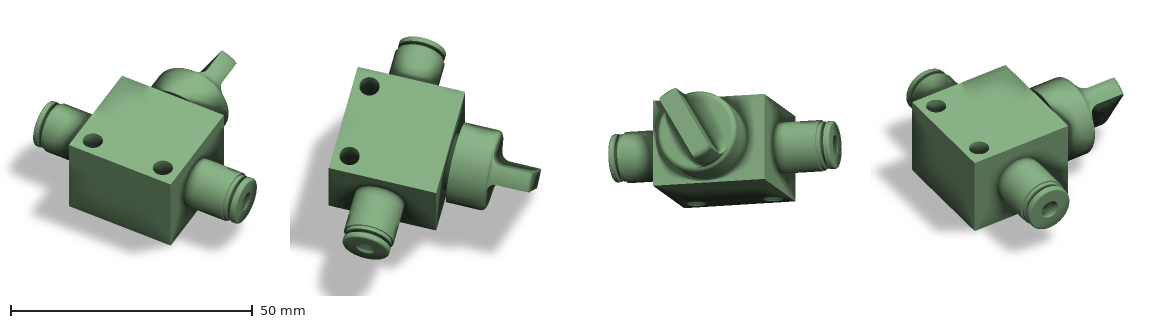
import cadquery as cq

OVERALL_LENGTH = 47.6
OVERALL_DEPTH = 41.0
BLOCK_WIDTH = 24.0
BLOCK_DEPTH = 22.95
BLOCK_HEIGHT = 18.0
MOUNT_HOLE_DIAMETER = 4.2
MOUNT_HOLE_SPACING = 16.45
MOUNT_HOLE_Y = 3.47

PORT_Y = 10.9
PORT_DIAMETER = 10.6
COLLET_LENGTH = 2.75
COLLET_FLANGE_DIAMETER = 10.0
COLLET_FLANGE_WIDTH = 1.2
COLLET_NECK_DIAMETER = 7.5
COLLET_NECK_WIDTH = 0.8
COLLET_RING_DIAMETER = 9.9
COLLET_RIM_RADIUS = 0.45
COLLET_BORE_DIAMETER = 4.0
PORT_END_X = OVERALL_LENGTH / 2 - COLLET_LENGTH

STEM_DIAMETER = 12.0
STEM_LENGTH = 1.15
KNOB_DIAMETER = 17.0
KNOB_LENGTH = 8.15
KNOB_RIM_RADIUS = 1.05
KNOB_TOTAL_LENGTH = OVERALL_DEPTH - BLOCK_DEPTH
SHOULDER_HEIGHT = STEM_LENGTH + KNOB_LENGTH
GRIP_DIAMETER = 15.7
GRIP_THICKNESS = 4.05
GRIP_CORNER_RADIUS = 1.0
GRIP_ROOT_RADIUS = 2.0
GRIP_ANGLE = 60.0


def make_housing():
    """Block with two mounting holes and a round port on each side."""
    block = cq.Workplane("XY").box(BLOCK_WIDTH, BLOCK_DEPTH, BLOCK_HEIGHT, centered=(True, False, True))
    ports = (
        cq.Workplane("YZ", origin=(0, PORT_Y, 0))
        .circle(PORT_DIAMETER / 2)
        .extrude(PORT_END_X, both=True)
    )
    mount_holes = (
        cq.Workplane("XY", origin=(0, MOUNT_HOLE_Y, 0))
        .rarray(MOUNT_HOLE_SPACING, 0.48, 2, 1)
        .circle(MOUNT_HOLE_DIAMETER / 2)
        .extrude(BLOCK_HEIGHT, both=True)
    )
    return block.union(ports).cut(mount_holes)


def make_collet(side):
    """Grooved collet on the port end; side is -1 for left, +1 for right."""
    outer_face = ">X" if side > 0 else "<X"
    ring_width = COLLET_LENGTH - COLLET_FLANGE_WIDTH - COLLET_NECK_WIDTH
    outward = cq.Plane(origin=(side * PORT_END_X, PORT_Y, 0), xDir=(0, 1, 0), normal=(side, 0, 0))
    return (
        cq.Workplane(outward)
        .circle(COLLET_RING_DIAMETER / 2)
        .extrude(ring_width)
        .faces(outer_face)
        .workplane()
        .circle(COLLET_NECK_DIAMETER / 2)
        .extrude(COLLET_NECK_WIDTH)
        .faces(outer_face)
        .workplane()
        .circle(COLLET_FLANGE_DIAMETER / 2)
        .extrude(COLLET_FLANGE_WIDTH)
        .faces(outer_face)
        .edges()
        .fillet(COLLET_RIM_RADIUS)
        .faces(outer_face)
        .workplane()
        .circle(COLLET_BORE_DIAMETER / 2)
        .cutBlind(-COLLET_LENGTH)
    )


def make_grip():
    """Blade along X, rising in Z, with flared roots and rounded ends."""
    half_thickness = GRIP_THICKNESS / 2
    flare = half_thickness + GRIP_ROOT_RADIUS
    base = SHOULDER_HEIGHT - KNOB_RIM_RADIUS
    root_top = SHOULDER_HEIGHT + GRIP_ROOT_RADIUS
    root_center = (flare, root_top)
    profile = (
        cq.Workplane("YZ")
        .moveTo(-flare, base)
        .lineTo(flare, base)
        .lineTo(flare, SHOULDER_HEIGHT)
        .radiusArc((half_thickness, root_top), GRIP_ROOT_RADIUS)
        .lineTo(half_thickness, KNOB_TOTAL_LENGTH)
        .lineTo(-half_thickness, KNOB_TOTAL_LENGTH)
        .lineTo(-half_thickness, root_top)
        .radiusArc((-flare, SHOULDER_HEIGHT), GRIP_ROOT_RADIUS)
        .close()
        .extrude(GRIP_DIAMETER, both=True)
    )
    envelope = (
        cq.Workplane("XY", origin=(0, 0, base))
        .circle(GRIP_DIAMETER / 2)
        .extrude(KNOB_TOTAL_LENGTH - base)
        .faces(">Z")
        .edges()
        .fillet(GRIP_CORNER_RADIUS)
    )
    return profile.intersect(envelope)


def make_knob():
    """Knob built upright along Z, then laid along Y on the back of the block."""
    stem = cq.Workplane("XY").circle(STEM_DIAMETER / 2).extrude(STEM_LENGTH)
    skirt = (
        cq.Workplane("XY", origin=(0, 0, STEM_LENGTH))
        .circle(KNOB_DIAMETER / 2)
        .extrude(KNOB_LENGTH)
        .faces(">Z")
        .edges()
        .fillet(KNOB_RIM_RADIUS)
    )
    grip = make_grip().rotate((0, 0, 0), (0, 0, 1), -GRIP_ANGLE)
    return (
        stem.union(skirt)
        .union(grip)
        .rotate((0, 0, 0), (1, 0, 0), -90)
        .translate((0, BLOCK_DEPTH, 0))
    )


housing = make_housing()
collets = [make_collet(side) for side in (-1, 1)]
knob = make_knob()

result = cq.Compound.makeCompound([housing.val(), *[collet.val() for collet in collets], knob.val()])